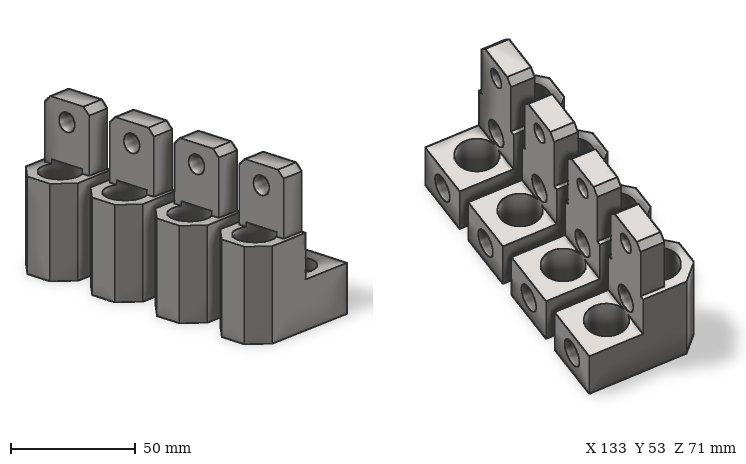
import cadquery as cq

bracket_count = 4
row_length = 133.0
body_width = 28.0
bracket_pitch = (row_length - body_width) / (bracket_count - 1)

body_depth = 53.0
tower_depth = 28.0
tower_height = 42.0
base_height = 22.0
front_corner_chamfer = 8.0

total_height = 71.0
tab_width = 24.0
tab_thickness = 11.0
tab_corner_chamfer = 3.0
tab_hole_diameter = 8.5
tab_hole_drop = 9.0

bore_diameter = 18.2
front_bore_y = 13.0
rear_bore_y = body_depth - 16.0
bore_overrun = 2.0

cross_hole_diameter = 12.0
upper_cross_hole_z = 29.9
lower_cross_hole_z = base_height / 2


def make_body():
    """L-shaped profile extruded across the width, with the two front upright edges cut off."""
    return (
        cq.Workplane("YZ")
        .polyline([
            (0, 0),
            (body_depth, 0),
            (body_depth, base_height),
            (tower_depth, base_height),
            (tower_depth, tower_height),
            (0, tower_height),
        ])
        .close()
        .extrude(body_width / 2, both=True)
        .faces("<Y")
        .edges("|Z")
        .chamfer(front_corner_chamfer)
    )


def make_tab():
    """Upright plate, flush with the rear of the tower, with bevelled top corners."""
    tab_height = total_height - tower_height
    return (
        cq.Workplane("XY", origin=(0, tower_depth - tab_thickness / 2, tower_height))
        .box(tab_width, tab_thickness, tab_height, centered=(True, True, False))
        .faces(">Z")
        .edges("|Y")
        .chamfer(tab_corner_chamfer)
    )


def vertical_bore(y, top_face_z):
    """Cutter that rises from the bottom to just above the given top face."""
    return (
        cq.Workplane("XY", origin=(0, y, 0))
        .circle(bore_diameter / 2)
        .extrude(top_face_z + bore_overrun)
    )


def hole_along_y(diameter, z, y_start, y_end):
    """Horizontal cutter that runs from y_start to y_end."""
    return cq.Workplane("XZ", origin=(0, y_start, z)).circle(diameter / 2).extrude(y_start - y_end)


def make_bracket():
    tab_hole_z = total_height - tab_hole_drop
    return (
        make_body()
        .union(make_tab())
        .cut(vertical_bore(front_bore_y, tower_height))
        .cut(vertical_bore(rear_bore_y, base_height))
        .cut(hole_along_y(tab_hole_diameter, tab_hole_z, tower_depth - tab_thickness, tower_depth))
        .cut(hole_along_y(cross_hole_diameter, upper_cross_hole_z, front_bore_y, tower_depth))
        .cut(hole_along_y(cross_hole_diameter, lower_cross_hole_z, rear_bore_y, body_depth))
    )


bracket = make_bracket()
first_bracket_x = -bracket_pitch * (bracket_count - 1) / 2
brackets = [
    bracket.translate((first_bracket_x + index * bracket_pitch, 0, 0)).val()
    for index in range(bracket_count)
]

result = cq.Compound.makeCompound(brackets)